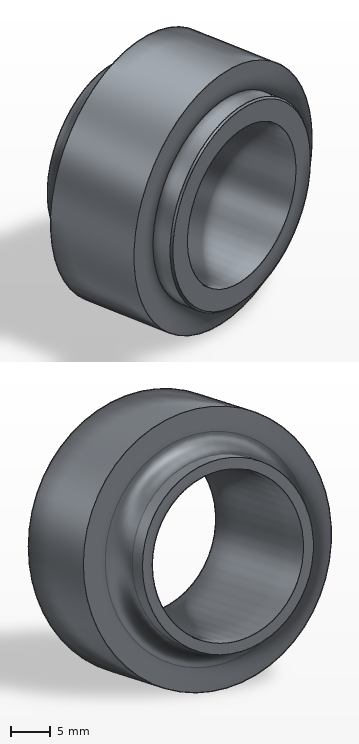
import cadquery as cq

body_diameter = 37.13
neck_diameter = 25.6
shoulder_diameter = 29.2
bore_diameter = 22.6

neck_length = 5.0
body_length = 13.48
shoulder_length = 3.0
total_length = neck_length + body_length + shoulder_length

neck_fillet = neck_length / 2
shoulder_chamfer = 0.25


def cylinder(start, length, diameter):
    """Solid cylinder along +X, beginning at the given X position."""
    return cq.Workplane("YZ", origin=(start, 0, 0)).circle(diameter / 2).extrude(length)


def neck_fillet_ring():
    """Concave ring blending the neck into the flat face of the body."""
    neck_radius = neck_diameter / 2
    diagonal = neck_fillet * (1 - 0.5**0.5)
    return (
        cq.Workplane("XY")
        .moveTo(neck_length - neck_fillet, neck_radius)
        .threePointArc(
            (neck_length - diagonal, neck_radius + diagonal),
            (neck_length, neck_radius + neck_fillet),
        )
        .lineTo(neck_length, bore_diameter / 2)
        .lineTo(neck_length - neck_fillet, bore_diameter / 2)
        .close()
        .revolve(360, (0, 0, 0), (1, 0, 0))
    )


neck = cylinder(0, neck_length, neck_diameter)
body = cylinder(neck_length, body_length, body_diameter)
shoulder = cylinder(neck_length + body_length, shoulder_length, shoulder_diameter)
shoulder = shoulder.faces(">X").chamfer(shoulder_chamfer)
bore = cylinder(0, total_length, bore_diameter)

result = neck.union(neck_fillet_ring()).union(body).union(shoulder).cut(bore)